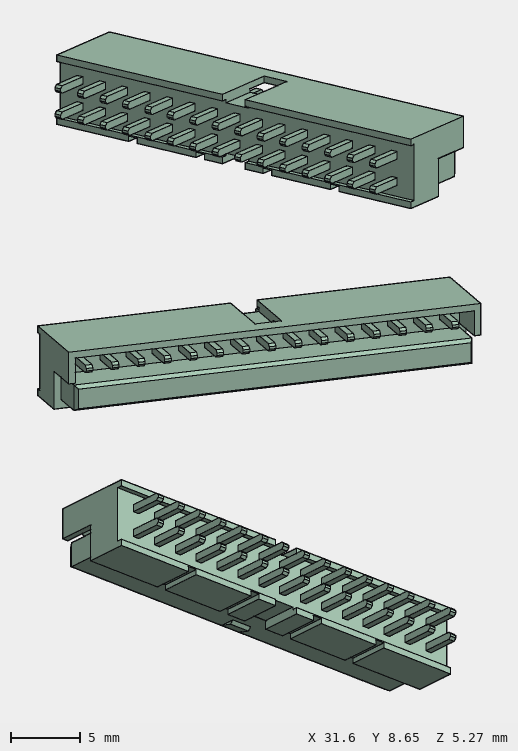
import cadquery as cq

length = 31.55
height = 5.27
depth_with_tails = 8.65

housing_depth = 6.37
lip_depth = 0.4
wall = 0.5
shroud_depth = 3.03
shroud_height = 2.4

key_width = 2.02
key_slot_depth = 0.75
key_bridge = 1.33
latch_notch_depth = 0.7

groove_width = 0.75
groove_depth = 0.4
groove_spacing = 6.0
groove_count = 4

pin_columns = 15
pin_row_span = 28.02
pin_row_spacing = 2.0
pin_width = 0.5
pin_height = 0.57
pin_chamfer = 0.2
mating_pin_length = 2.6
pin_pitch = pin_row_span / (pin_columns - 1)
upper_row_z = height / 2 + pin_row_spacing / 2
lower_row_z = height / 2 - pin_row_spacing / 2

tongue_end_inset = 0.55
tongue_height = 1.92
tongue_length = length - 2 * tongue_end_inset
tongue_bottom = lower_row_z - tongue_height / 2
tongue_chamfer_depth = 0.38
tongue_chamfer_inset = 0.22

latch_width = 1.7
latch_height = 0.25
latch_peak_y = -1.33


def box(size_x, y_front, y_back, z_bottom, z_top, center_x=0):
    """Block centred on center_x between the given Y and Z limits."""
    return cq.Workplane("XY").box(
        size_x, y_back - y_front, z_top - z_bottom, centered=(True, False, False)
    ).translate((center_x, y_front, z_bottom))


def evenly_spaced(count, spacing):
    """Positions along X, symmetric about zero."""
    return [(i - (count - 1) / 2) * spacing for i in range(count)]


def make_shell():
    """Base, lips and shroud, before the pins are added."""
    profile = [
        (-housing_depth, 0),
        (-shroud_depth, 0),
        (-shroud_depth, height - shroud_height),
        (0, height - shroud_height),
        (0, height),
        (-housing_depth, height),
        (-housing_depth, height - wall),
        (lip_depth - housing_depth, height - wall),
        (lip_depth - housing_depth, wall),
        (-housing_depth, wall),
    ]
    shell = cq.Workplane("YZ").polyline(profile).close().extrude(length / 2, both=True)

    cavity = box(length - 2 * wall, -shroud_depth, 0, height - shroud_height, height - wall)
    key_slot = box(key_width, -housing_depth, -key_bridge, height - key_slot_depth, height)
    latch_notch = box(key_width, -housing_depth, -shroud_depth, 0, latch_notch_depth)
    shell = shell.cut(cavity).cut(key_slot).cut(latch_notch)

    for x in evenly_spaced(groove_count, groove_spacing):
        shell = shell.cut(box(groove_width, -housing_depth, -shroud_depth, 0, groove_depth, x))
    return shell


def make_pin(x, z, y_front, y_back, chamfered_ends):
    """Straight pin whose chosen ends are bevelled on the upper and lower edges."""
    pin = box(pin_width, y_front, y_back, z - pin_height / 2, z + pin_height / 2, x)
    for end in chamfered_ends:
        pin = pin.faces(end).edges("|X").chamfer(pin_chamfer)
    return pin


def make_header():
    """Housing with its pins as one solid: the upper row also reaches into the shroud."""
    header = make_shell()
    upper_pin_back = mating_pin_length - shroud_depth
    for x in evenly_spaced(pin_columns, pin_pitch):
        upper_pin = make_pin(x, upper_row_z, -depth_with_tails, upper_pin_back, ["<Y", ">Y"])
        lower_pin = make_pin(x, lower_row_z, -depth_with_tails, -shroud_depth, ["<Y"])
        header = header.union(upper_pin).union(lower_pin)
    return header


def make_tongue():
    """Bar with a bevelled back end and a latch ramp underneath."""
    bar_back = -tongue_chamfer_depth
    bar = box(tongue_length, -shroud_depth, bar_back, tongue_bottom, tongue_bottom + tongue_height)
    nose = (
        cq.Workplane("XZ", origin=(0, bar_back, lower_row_z))
        .rect(tongue_length, tongue_height)
        .workplane(offset=-tongue_chamfer_depth)
        .rect(tongue_length - 2 * tongue_chamfer_inset, tongue_height - 2 * tongue_chamfer_inset)
        .loft(ruled=True)
    )
    latch_profile = [
        (bar_back, tongue_bottom),
        (latch_peak_y, tongue_bottom - latch_height),
        (latch_peak_y - latch_height, tongue_bottom),
    ]
    latch = cq.Workplane("YZ").polyline(latch_profile).close().extrude(latch_width / 2, both=True)
    return bar.union(nose).union(latch)


header = make_header()
tongue = make_tongue()

result = cq.Compound.makeCompound([header.val(), tongue.val()])